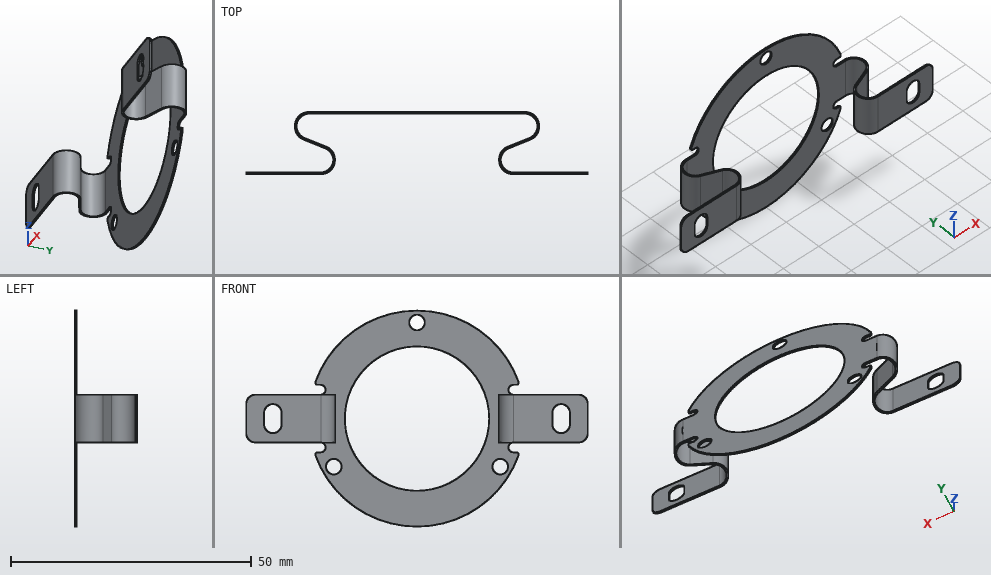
import cadquery as cq
import math


sheet = 0.4
total_width = 71.15
total_depth = 13.0

ring_outer_radius = 22.5
ring_inner_radius = 15.0
hole_diameter = 3.2
hole_circle_radius = 20.0
hole_angles = (90, 210, 330)

tab_width = 10.0
tab_corner_radius = 2.0
bend_outer_radius = 3.0
bend_inner_radius = bend_outer_radius - sheet
rear_bend_x = 22.45
front_bend_x = 20.05

slot_spacing = 60.0
slot_width = 3.6
slot_length = 6.0

notch_width = 2.0
notch_end_x = 19.05
notch_corner_radius = 0.5

half_width = total_width / 2
half_tab = tab_width / 2
notch_radius = notch_width / 2
notch_outer_z = half_tab + notch_width


def polar(center, radius, angle):
    """Point at the given radius and angle (radians) from a center."""
    return (center[0] + radius * math.cos(angle), center[1] + radius * math.sin(angle))


def make_ring():
    """Flat ring with relief notches, rounded notch corners and fixing holes."""
    ring = cq.Workplane("XZ").circle(ring_outer_radius).extrude(sheet)

    notch_length = ring_outer_radius - notch_end_x
    for side_x in (-1, 1):
        for side_z in (-1, 1):
            notch_z = side_z * (half_tab + notch_radius)
            end_x = notch_end_x + notch_radius
            round_end = (
                cq.Workplane("XZ").center(side_x * end_x, notch_z).circle(notch_radius).extrude(sheet)
            )
            channel = (
                cq.Workplane("XZ")
                .center(side_x * (end_x + notch_length / 2), notch_z)
                .rect(notch_length, notch_width)
                .extrude(sheet)
            )
            ring = ring.cut(round_end).cut(channel)

    corner_x = math.sqrt(ring_outer_radius**2 - notch_outer_z**2)
    for side_x in (-1, 1):
        for side_z in (-1, 1):
            corner = (side_x * corner_x, -sheet / 2, side_z * notch_outer_z)
            ring = ring.edges(cq.selectors.NearestToPointSelector(corner)).fillet(notch_corner_radius)

    bore = cq.Workplane("XZ").circle(ring_inner_radius).extrude(sheet)
    ring = ring.cut(bore)

    hole_centers = [polar((0, 0), hole_circle_radius, math.radians(angle)) for angle in hole_angles]
    holes = cq.Workplane("XZ").pushPoints(hole_centers).circle(hole_diameter / 2).extrude(sheet)
    return ring.cut(holes)


def make_tab():
    """Left tab: a constant-thickness S-shaped strip ending in a slotted flange."""
    rear = (-rear_bend_x, -bend_outer_radius)
    front = (-front_bend_x, bend_outer_radius - total_depth)

    axis_dx = front[0] - rear[0]
    axis_dy = rear[1] - front[1]
    axis_distance = math.hypot(axis_dx, axis_dy)
    web_slope = math.atan2(axis_dy, axis_dx) - math.asin(
        (bend_outer_radius + bend_inner_radius) / axis_distance
    )

    up = math.pi / 2
    rear_end = 3 * math.pi / 2 - web_slope
    rear_middle = (up + rear_end) / 2
    front_start = up - web_slope
    front_end = -math.pi / 2
    front_middle = (front_start + front_end) / 2

    root_x = -(ring_inner_radius + ring_outer_radius) / 2
    front_y = -total_depth
    strip = (
        cq.Workplane("XY")
        .moveTo(root_x, 0)
        .lineTo(rear[0], 0)
        .threePointArc(polar(rear, bend_outer_radius, rear_middle), polar(rear, bend_outer_radius, rear_end))
        .lineTo(*polar(front, bend_inner_radius, front_start))
        .threePointArc(
            polar(front, bend_inner_radius, front_middle), polar(front, bend_inner_radius, front_end)
        )
        .lineTo(-half_width, front_y + sheet)
        .lineTo(-half_width, front_y)
        .lineTo(front[0], front_y)
        .threePointArc(
            polar(front, bend_outer_radius, front_middle), polar(front, bend_outer_radius, front_start)
        )
        .lineTo(*polar(rear, bend_inner_radius, rear_end))
        .threePointArc(polar(rear, bend_inner_radius, rear_middle), polar(rear, bend_inner_radius, up))
        .lineTo(root_x, -sheet)
        .close()
        .extrude(half_tab, both=True)
    )
    strip = strip.faces("<X").edges("|Y").fillet(tab_corner_radius)

    slot = (
        cq.Workplane("XZ", origin=(-slot_spacing / 2, front_y + sheet, 0))
        .slot2D(slot_length, slot_width, 90)
        .extrude(sheet)
    )
    return strip.cut(slot)


left_tab = make_tab()
right_tab = left_tab.mirror("YZ")
result = make_ring().union(left_tab).union(right_tab)